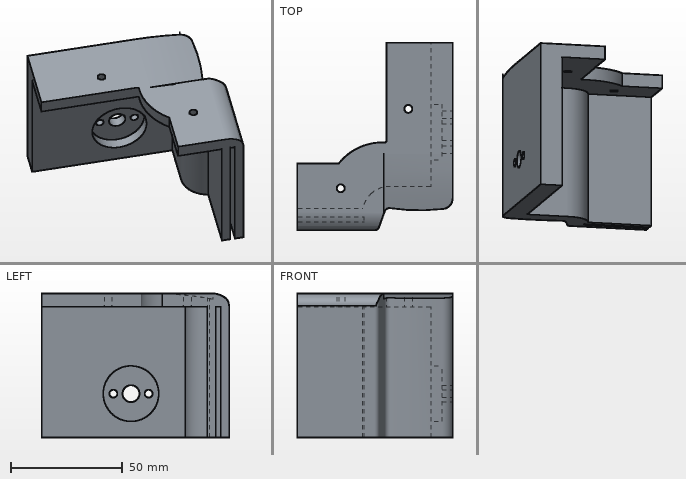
import cadquery as cq
import math

LENGTH_X = 70.0
LENGTH_Y = 84.5
HEIGHT = 65.0
WALL = 10.0
PLATE = 6.0
PLATE_BOTTOM = HEIGHT - PLATE
INNER_X = LENGTH_X - WALL

FRONT_ARM_DEPTH = 30.15
SIDE_ARM_X = 40.1
WEB_START_X = 18.7
WEB_END_Y = 39.6
WEB_RADIUS = 25.3
WEB_FILLET = 0.5

STEP_RADIUS = 2.2
STEP_LOW_X = 34.8
STEP_HIGH_X = 41.5
STEP_HEIGHT = 10.0
BULGE_MID = (55.75, 8.95)
BULGE_END = (65.45, 9.55)
CORNER_MID = (68.75, 11.15)
CORNER_END_Y = 14.45

ROUND_DEPTH = 7.9
ROUND_RADIUS = 10.2
ROUND_TIGHT_RADIUS = 4.5
ROUND_TURN = math.radians(35.5)

SLOPE_X = 39.0
SLOPE_Y = 34.4
SLOPE_RADIUS = 143.6

SLOT_Y = 4.0
SLOT_WIDTH = 2.1
SLOT_LENGTH = 29.9

SCREW_DIAMETER = 3.5
PLATE_HOLES = [(19.6, 18.9), (50.0, 54.65)]
RECESS_DIAMETER = 25.0
RECESS_DEPTH = WALL / 2
RECESS_Y = 44.25
RECESS_Z = 19.85
CENTER_HOLE_DIAMETER = 7.5
SCREW_OFFSET = 7.9

low_center = (STEP_LOW_X, STEP_RADIUS)
high_center = (STEP_HIGH_X, STEP_HEIGHT - STEP_RADIUS)
center_dx = high_center[0] - low_center[0]
center_dy = high_center[1] - low_center[1]
flank_normal = math.atan2(center_dy, center_dx) - math.acos(
    2 * STEP_RADIUS / math.hypot(center_dx, center_dy)
)


def polar(center, radius, angle):
    return (center[0] + radius * math.cos(angle), center[1] + radius * math.sin(angle))


def outer_edge():
    """Outer outline from the front left corner to the rear right corner."""
    low_mid_angle = (flank_normal - math.pi / 2) / 2
    high_end_angle = flank_normal + math.pi
    high_mid_angle = (high_end_angle + math.pi / 2) / 2
    return (
        cq.Workplane("XY")
        .moveTo(0, 0)
        .lineTo(STEP_LOW_X, 0)
        .threePointArc(
            polar(low_center, STEP_RADIUS, low_mid_angle),
            polar(low_center, STEP_RADIUS, flank_normal),
        )
        .lineTo(*polar(high_center, STEP_RADIUS, high_end_angle))
        .threePointArc(
            polar(high_center, STEP_RADIUS, high_mid_angle),
            (STEP_HIGH_X, STEP_HEIGHT),
        )
        .threePointArc(BULGE_MID, BULGE_END)
        .threePointArc(CORNER_MID, (LENGTH_X, CORNER_END_Y))
        .lineTo(LENGTH_X, LENGTH_Y)
    )


def make_walls():
    """Walls of constant thickness; the inner step runs parallel to the outer one."""
    inner_radius = STEP_RADIUS + WALL
    flank_angle = flank_normal + math.pi
    flank_top = polar(high_center, inner_radius, flank_angle)
    flank_foot_x = flank_top[0] + (flank_top[1] - WALL) * math.tan(flank_normal)
    return (
        outer_edge()
        .lineTo(INNER_X, LENGTH_Y)
        .lineTo(INNER_X, STEP_HEIGHT + WALL)
        .lineTo(STEP_HIGH_X, STEP_HEIGHT + WALL)
        .threePointArc(
            polar(high_center, inner_radius, (flank_angle + math.pi / 2) / 2), flank_top
        )
        .lineTo(flank_foot_x, WALL)
        .lineTo(0, WALL)
        .close()
        .extrude(PLATE_BOTTOM)
    )


def make_plate():
    plate = (
        outer_edge()
        .lineTo(SIDE_ARM_X, LENGTH_Y)
        .lineTo(SIDE_ARM_X, WEB_END_Y)
        .radiusArc((WEB_START_X, FRONT_ARM_DEPTH), -WEB_RADIUS)
        .lineTo(0, FRONT_ARM_DEPTH)
        .close()
        .extrude(PLATE)
        .translate((0, 0, PLATE_BOTTOM))
    )
    inner_corner = cq.selectors.NearestToPointSelector(
        (SIDE_ARM_X, WEB_END_Y, PLATE_BOTTOM + PLATE / 2)
    )
    return plate.edges("|Z").edges(inner_corner).fillet(WEB_FILLET)


def front_round_cutter():
    """Waste outside the rounded top edge of the front arm."""
    shallow_center = (ROUND_DEPTH, HEIGHT - ROUND_RADIUS)
    join_angle = math.pi / 2 + ROUND_TURN
    join = polar(shallow_center, ROUND_RADIUS, join_angle)
    tight_center = polar(shallow_center, ROUND_RADIUS - ROUND_TIGHT_RADIUS, join_angle)
    return (
        cq.Workplane("YZ")
        .moveTo(ROUND_DEPTH, HEIGHT)
        .threePointArc(
            polar(shallow_center, ROUND_RADIUS, math.pi / 2 + ROUND_TURN / 2), join
        )
        .threePointArc(
            polar(tight_center, ROUND_TIGHT_RADIUS, (join_angle + math.pi) / 2),
            (tight_center[0] - ROUND_TIGHT_RADIUS, tight_center[1]),
        )
        .lineTo(-WALL, tight_center[1])
        .lineTo(-WALL, HEIGHT)
        .close()
        .extrude(SLOPE_X)
    )


def corner_slope_cutter():
    """Waste above the large arc that lowers the top of the outer corner."""
    end_drop = SLOPE_RADIUS - math.sqrt(SLOPE_RADIUS**2 - SLOPE_Y**2)
    return (
        cq.Workplane("YZ", origin=(SLOPE_X, 0, 0))
        .moveTo(SLOPE_Y, HEIGHT)
        .radiusArc((0, HEIGHT - end_drop), -SLOPE_RADIUS)
        .lineTo(0, HEIGHT)
        .close()
        .extrude(LENGTH_X - SLOPE_X)
    )


def slot_cutter():
    return cq.Workplane("XY").box(
        SLOT_LENGTH, SLOT_WIDTH, PLATE_BOTTOM, centered=False
    ).translate((0, SLOT_Y, 0))


def plate_hole_cutter():
    return (
        cq.Workplane("XY", origin=(0, 0, PLATE_BOTTOM))
        .pushPoints(PLATE_HOLES)
        .circle(SCREW_DIAMETER / 2)
        .extrude(PLATE)
    )


def side_wall_cutter():
    """Round recess in the inner face, with three holes through the side wall."""
    face = cq.Workplane("YZ", origin=(INNER_X, RECESS_Y, RECESS_Z))
    recess = face.circle(RECESS_DIAMETER / 2).extrude(RECESS_DEPTH)
    center_hole = face.circle(CENTER_HOLE_DIAMETER / 2).extrude(WALL)
    screw_holes = (
        face.pushPoints([(-SCREW_OFFSET, 0), (SCREW_OFFSET, 0)])
        .circle(SCREW_DIAMETER / 2)
        .extrude(WALL)
    )
    return recess.union(center_hole).union(screw_holes)


result = (
    make_walls()
    .union(make_plate())
    .cut(front_round_cutter())
    .cut(corner_slope_cutter())
    .cut(slot_cutter())
    .cut(plate_hole_cutter())
    .cut(side_wall_cutter())
)